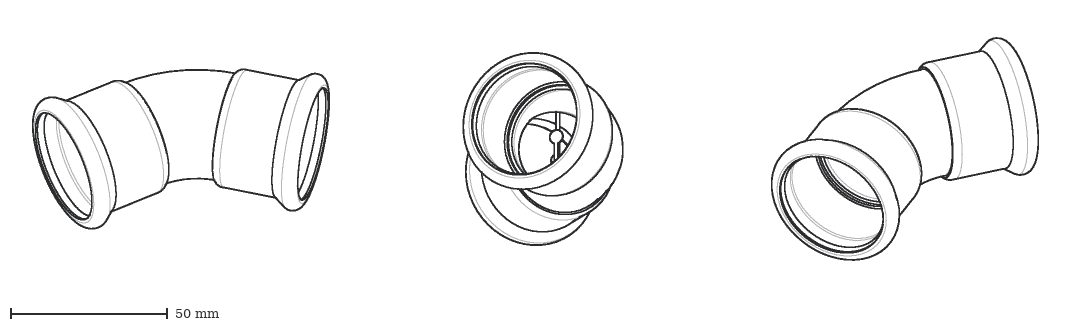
import cadquery as cq
import math

BEND_ANGLE = 45.0
BEND_RADIUS = 36.3
TUBE_RADIUS = 34.8 / 2
TUBE_BORE_RADIUS = 31.7 / 2

SOCKET_LENGTH = 28.35
COLLAR_ROUND_LENGTH = 2.7
CONE_START = 20.0
BORE_FLARE_LENGTH = 0.8
SHOULDER_DEPTH = 1.6
STEP_DEPTH = 2.7

SOCKET_RADIUS = 38.4 / 2
COLLAR_BACK_RADIUS = 18.1
COLLAR_MID_RADIUS = 18.9
SOCKET_BORE_RADIUS = 35.9 / 2
STEP_RADIUS = 34.0 / 2
BORE_FLARE_RISE = 0.3

BEAD_SECTION_RADIUS = 3.0
BEAD_START_ANGLE = 30.0
BEAD_CENTRE_RADIUS = 44.6 / 2 - BEAD_SECTION_RADIUS
BEAD_CENTRE_DEPTH = SOCKET_LENGTH - BEAD_SECTION_RADIUS

MOUTH_RADIUS = 18.25
LIP_THICKNESS = 0.4
SEAL_INNER_RADIUS = 35.3 / 2
SEAL_SECTION_RADIUS = 1.5
SEAL_CENTRE_RADIUS = SEAL_INNER_RADIUS + SEAL_SECTION_RADIUS
SEAL_CENTRE_DEPTH = SOCKET_LENGTH - LIP_THICKNESS - SEAL_SECTION_RADIUS

TAB_DIAMETER = 4.5
TAB_THICKNESS = 0.4
BAR_WIDTH = 1.3
BAR_EMBED = 0.3


def section_point(centre_radius, centre_depth, section_radius, angle):
    """Point on a ring section; angle 0 is outward and positive leans away from the mouth."""
    turn = math.radians(angle)
    radius = centre_radius + section_radius * math.cos(turn)
    depth = centre_depth - section_radius * math.sin(turn)
    return radius, -depth


def bead_point(angle):
    """Point on the outside of the bead."""
    return section_point(BEAD_CENTRE_RADIUS, BEAD_CENTRE_DEPTH, BEAD_SECTION_RADIUS, angle)


def groove_point(angle):
    """Point on the round of the seal groove."""
    return section_point(SEAL_CENTRE_RADIUS, SEAL_CENTRE_DEPTH, SEAL_SECTION_RADIUS, angle)


def make_socket_shell():
    """Revolved socket wall, with the seal groove under the bead."""
    groove_end_angle = -math.degrees(
        math.acos((MOUTH_RADIUS - SEAL_CENTRE_RADIUS) / SEAL_SECTION_RADIUS)
    )
    groove_mid_angle = (BEAD_START_ANGLE + groove_end_angle) / 2
    bead_mid_angle = (BEAD_START_ANGLE - 90) / 2
    flare_end = CONE_START + BORE_FLARE_LENGTH

    profile = (
        cq.Workplane("XY")
        .moveTo(TUBE_BORE_RADIUS, 0)
        .lineTo(COLLAR_BACK_RADIUS, 0)
        .threePointArc(
            (COLLAR_MID_RADIUS, -COLLAR_ROUND_LENGTH / 3),
            (SOCKET_RADIUS, -COLLAR_ROUND_LENGTH),
        )
        .lineTo(SOCKET_RADIUS, -CONE_START)
        .lineTo(*bead_point(BEAD_START_ANGLE))
        .threePointArc(
            bead_point(bead_mid_angle),
            bead_point(-90),
        )
        .lineTo(MOUTH_RADIUS, -SOCKET_LENGTH)
        .lineTo(*groove_point(groove_end_angle))
        .threePointArc(
            groove_point(groove_mid_angle),
            groove_point(BEAD_START_ANGLE),
        )
        .lineTo(SOCKET_BORE_RADIUS + BORE_FLARE_RISE, -flare_end)
        .tangentArcPoint((SOCKET_BORE_RADIUS, -CONE_START), relative=False)
        .lineTo(SOCKET_BORE_RADIUS, -STEP_DEPTH)
        .lineTo(STEP_RADIUS, -STEP_DEPTH)
        .lineTo(STEP_RADIUS, -SHOULDER_DEPTH)
        .lineTo(TUBE_BORE_RADIUS, -SHOULDER_DEPTH)
        .close()
    )
    return profile.revolve(360, (0, 0, 0), (0, 1, 0))


def make_tab():
    """Flat round tab on the socket axis, with its bar reaching up into the wall."""
    bar_length = STEP_RADIUS + BAR_EMBED
    plane = cq.Workplane("XZ", origin=(0, TAB_THICKNESS - STEP_DEPTH, 0))
    disc = plane.circle(TAB_DIAMETER / 2).extrude(TAB_THICKNESS)
    bar = plane.center(0, bar_length / 2).rect(BAR_WIDTH, bar_length).extrude(TAB_THICKNESS)
    return disc.union(bar)


def make_seal():
    """O-ring that fills the round of the seal groove."""
    return (
        cq.Workplane("XY")
        .center(SEAL_CENTRE_RADIUS, -SEAL_CENTRE_DEPTH)
        .circle(SEAL_SECTION_RADIUS)
        .revolve(360, (-SEAL_CENTRE_RADIUS, 0, 0), (-SEAL_CENTRE_RADIUS, 1, 0))
    )


def make_bend():
    """Hollow tube bent toward +X."""
    return (
        cq.Workplane("XZ")
        .circle(TUBE_RADIUS)
        .circle(TUBE_BORE_RADIUS)
        .revolve(BEND_ANGLE, (BEND_RADIUS, 0.9, 0), (BEND_RADIUS, 0, 0))
    )


def to_second_end(body):
    """Move a body of the first socket to the far end of the bend, turned half a turn about its axis."""
    turn = math.radians(BEND_ANGLE)
    bend_end = (BEND_RADIUS * (1 - math.cos(turn)), BEND_RADIUS * math.sin(turn), 0)
    return (
        body.rotate((0, 0, 0), (0, 1, 0), 180)
        .rotate((0, 0, 0), (0, 0, 1), 180 - BEND_ANGLE)
        .translate(bend_end)
    )


socket = make_socket_shell().union(make_tab())
fitting = make_bend().union(socket).union(to_second_end(socket))

first_seal = make_seal()
seals = [first_seal, to_second_end(first_seal)]

result = cq.Compound.makeCompound([fitting.val(), *[seal.val() for seal in seals]])